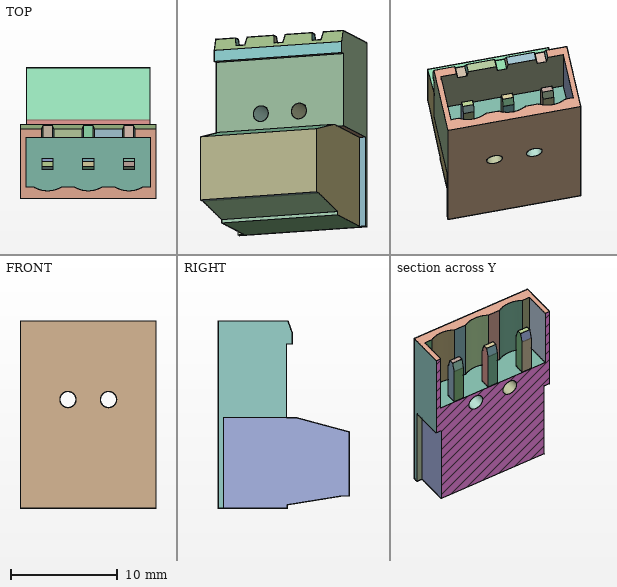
import cadquery as cq

housing_width = 12.75
housing_height = 17.6
total_depth = 12.3
shell_depth = 6.42

block_width = 11.6
block_height = 8.5
front_plate = 0.48
block_slope_start = 7.4
block_rear_top = 7.18
block_rear_bottom = 1.15
block_bottom_flat_start = 11.62
foot_depth = 6.5
foot_step = 0.32

lip_depth = 6.97
lip_top_depth = 6.55
lip_bottom = 15.4
lip_slope_bottom = 16.45

socket_width = 11.72
socket_front = 1.07
socket_rear = 5.75
socket_floor = 11.44

pole_count = 3
pitch = 3.81
bulge_width = 2.57
bulge_depth = 0.35
notch_width = 1.15
notch_floor_width = 0.88
notch_floor = 16.8

pin_width = 1.04
pin_front = 2.73
pin_rear = 3.75
pin_tip_front = 3.03
pin_tip_rear = 3.48
pin_tip = 16.09
pin_shoulder = 15.22

hole_diameter = 1.5
hole_height = 10.2

pole_positions = [(i - (pole_count - 1) / 2) * pitch for i in range(pole_count)]
gap_positions = [x + pitch / 2 for x in pole_positions[:-1]]


def side_profile(points, width):
    """Extrude a closed (Y, Z) outline symmetrically about X = 0."""
    return cq.Workplane("YZ").polyline(points).close().extrude(width / 2, both=True)


def make_shell():
    return side_profile(
        [
            (0, 0),
            (front_plate, 0),
            (front_plate, block_height),
            (shell_depth, block_height),
            (shell_depth, lip_bottom),
            (lip_depth, lip_bottom),
            (lip_depth, lip_slope_bottom),
            (lip_top_depth, housing_height),
            (0, housing_height),
        ],
        housing_width,
    )


def make_block():
    return side_profile(
        [
            (0, 0),
            (foot_depth, 0),
            (foot_depth, foot_step),
            (block_bottom_flat_start, block_rear_bottom),
            (total_depth, block_rear_bottom),
            (total_depth, block_rear_top),
            (block_slope_start, block_height),
            (0, block_height),
        ],
        block_width,
    )


def make_socket():
    """Rectangular cavity whose front wall bulges forward at every contact."""
    outline = cq.Workplane("XY", origin=(0, 0, socket_floor)).moveTo(-socket_width / 2, socket_front)
    for x in pole_positions:
        outline = outline.lineTo(x - bulge_width / 2, socket_front).threePointArc(
            (x, socket_front - bulge_depth), (x + bulge_width / 2, socket_front)
        )
    outline = (
        outline.lineTo(socket_width / 2, socket_front)
        .lineTo(socket_width / 2, socket_rear)
        .lineTo(-socket_width / 2, socket_rear)
        .close()
    )
    return outline.extrude(housing_height - socket_floor)


def make_notch(x):
    """Tapered gap through the rear wall and lip."""
    return (
        cq.Workplane("XZ", origin=(x, socket_rear, 0))
        .polyline(
            [
                (-notch_floor_width / 2, notch_floor),
                (notch_floor_width / 2, notch_floor),
                (notch_width / 2, housing_height),
                (-notch_width / 2, housing_height),
            ]
        )
        .close()
        .extrude(socket_rear - lip_depth)
    )


def make_pin(x):
    """Contact with a bevelled tip, rooted in the socket floor."""
    pin = side_profile(
        [
            (pin_front, socket_floor),
            (pin_front, pin_shoulder),
            (pin_tip_front, pin_tip),
            (pin_tip_rear, pin_tip),
            (pin_rear, pin_shoulder),
            (pin_rear, socket_floor),
        ],
        pin_width,
    )
    return pin.translate((x, 0, 0))


def make_cross_hole(x):
    return (
        cq.Workplane("XZ", origin=(x, 0, hole_height))
        .circle(hole_diameter / 2)
        .extrude(-shell_depth)
    )


result = make_shell().union(make_block()).cut(make_socket())
for x in pole_positions:
    result = result.cut(make_notch(x)).union(make_pin(x))
for x in gap_positions:
    result = result.cut(make_cross_hole(x))